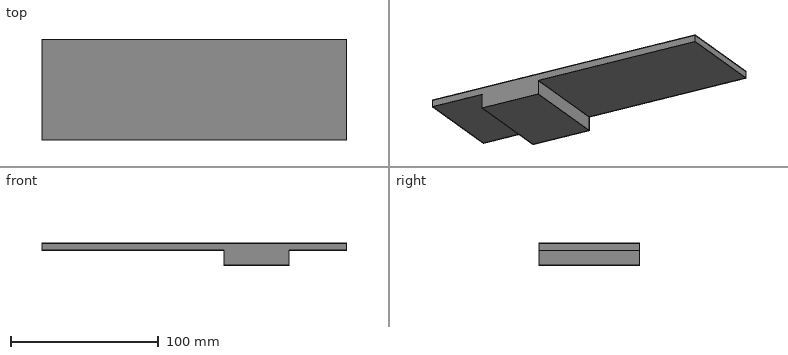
import cadquery as cq

plate_length = 206.0
plate_width = 68.0
plate_thickness = 5.0

total_height = 15.0
block_length = 44.0
block_start = 123.0
block_height = total_height - plate_thickness

plate = cq.Workplane("XY").box(
    plate_length, plate_width, plate_thickness, centered=(False, True, False)
)

block = (
    cq.Workplane("XY")
    .box(block_length, plate_width, block_height, centered=(False, True, False))
    .translate((block_start, 0, -block_height))
)

result = plate.union(block)